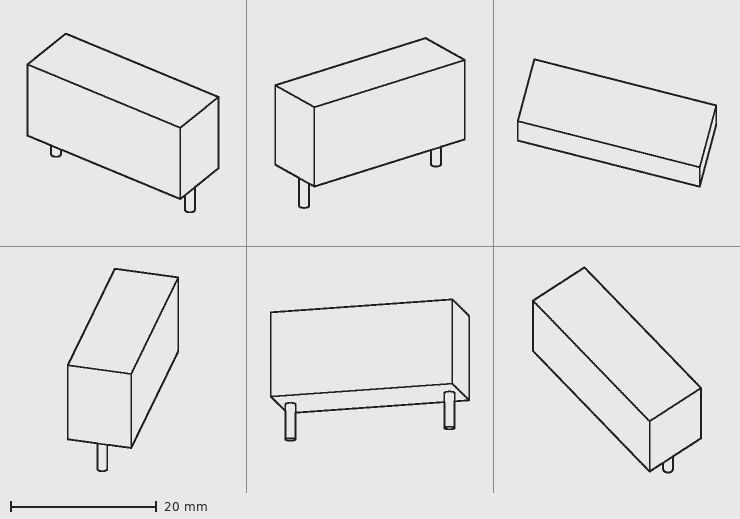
import cadquery as cq

HOUSING_LENGTH = 25.8
HOUSING_WIDTH = 9.0
HOUSING_HEIGHT = 12.0

PIN_DIAMETER = 1.4
PIN_LENGTH = 5.0
PIN_SPACING = 22.6


def make_housing():
    """Plain block, centred in X and Y, standing on Z = 0."""
    return cq.Workplane("XY").box(
        HOUSING_LENGTH, HOUSING_WIDTH, HOUSING_HEIGHT, centered=(True, True, False)
    )


def make_pin(x):
    """Round pin hanging from the underside of the housing at the given X."""
    return cq.Workplane("XY").center(x, 0).circle(PIN_DIAMETER / 2).extrude(-PIN_LENGTH)


housing = make_housing()
pins = [make_pin(side * PIN_SPACING / 2) for side in (-1, 1)]

result = cq.Compound.makeCompound([housing.val(), *[pin.val() for pin in pins]])